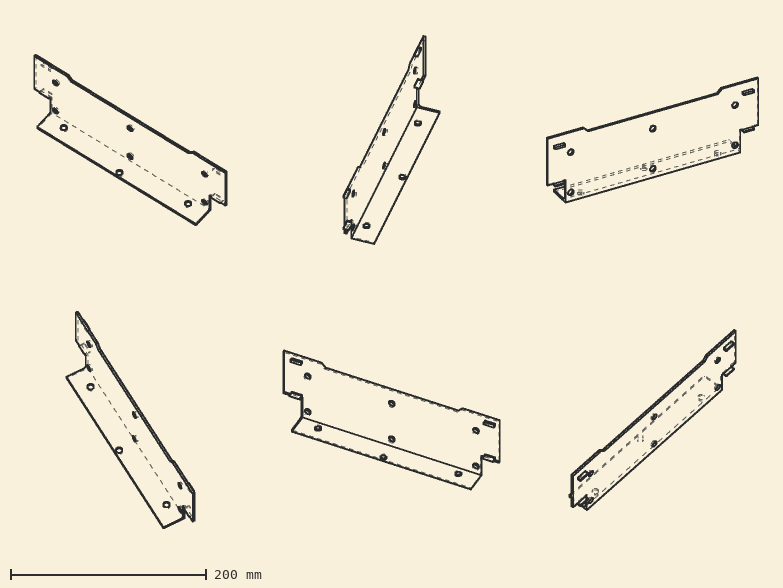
import cadquery as cq

plate_width = 246.0
plate_height = 82.5
sheet = 2.39
bend_fillet = 2.7

foot_width = 204.2
foot_height = 26.5
flange_depth = 24.8

recess_depth = 5.0
recess_floor_width = 151.3
recess_top_width = recess_floor_width + 2 * recess_depth

tab_width = 11.8
tab_reach = 3.7
tab_end_distance = 7.0
tab_offset = plate_width / 2 - tab_end_distance - tab_width / 2
lower_tab_thickness = 1.5
upper_tab_bottom = 69.5

hole_diameter = 6.6
plate_hole_spacing = 96.0
plate_hole_rise = plate_hole_spacing / 2
plate_hole_bottom = 10.3
flange_hole_offset = 80.0
flange_outer_hole_edge = 16.0
flange_middle_hole_edge = 5.0



def upright_plate():
    """Plate outline with narrow foot and recessed top edge, mirrored about X = 0."""
    half_outline = [
        (0, 0),
        (foot_width / 2, 0),
        (foot_width / 2, foot_height),
        (plate_width / 2, foot_height),
        (plate_width / 2, plate_height),
        (recess_top_width / 2, plate_height),
        (recess_floor_width / 2, plate_height - recess_depth),
        (0, plate_height - recess_depth),
    ]
    half = cq.Workplane("XZ").polyline(half_outline).close().extrude(sheet)
    return half.union(half.mirror("YZ"))


def flange():
    """Horizontal leg at the foot of the plate."""
    leg = cq.Workplane("XY").box(foot_width, flange_depth, sheet, centered=(True, False, False))
    return leg.translate((0, -flange_depth, 0))


def tab(x_centre, front, bottom, thickness):
    """Flat tab reaching from the given front face to behind the plate."""
    depth = tab_reach - front
    strip = cq.Workplane("XY").box(tab_width, depth, thickness, centered=(True, False, False))
    return strip.translate((x_centre, front, bottom))


def plate_holes():
    """Two rows of three holes through the plate."""
    centres = [
        (column * plate_hole_spacing, plate_hole_bottom + row * plate_hole_rise)
        for column in (-1, 0, 1)
        for row in (0, 1)
    ]
    return cq.Workplane("XZ").pushPoints(centres).circle(hole_diameter / 2).extrude(sheet)


def flange_holes():
    """Two outer holes near the bend and one middle hole near the free edge."""
    outer_y = flange_outer_hole_edge - flange_depth
    middle_y = flange_middle_hole_edge - flange_depth
    centres = [(-flange_hole_offset, outer_y), (0, middle_y), (flange_hole_offset, outer_y)]
    return cq.Workplane("XY").pushPoints(centres).circle(hole_diameter / 2).extrude(sheet)


bracket = upright_plate().union(flange()).clean()

inside_corner = cq.selectors.NearestToPointSelector((0, -sheet, sheet))
bracket = bracket.edges("|X").edges(inside_corner).fillet(bend_fillet)

for side in (-1, 1):
    x_centre = side * tab_offset
    bracket = bracket.union(tab(x_centre, -sheet, foot_height - lower_tab_thickness, lower_tab_thickness))
    bracket = bracket.union(tab(x_centre, 0, upper_tab_bottom, sheet))

result = bracket.cut(plate_holes()).cut(flange_holes())